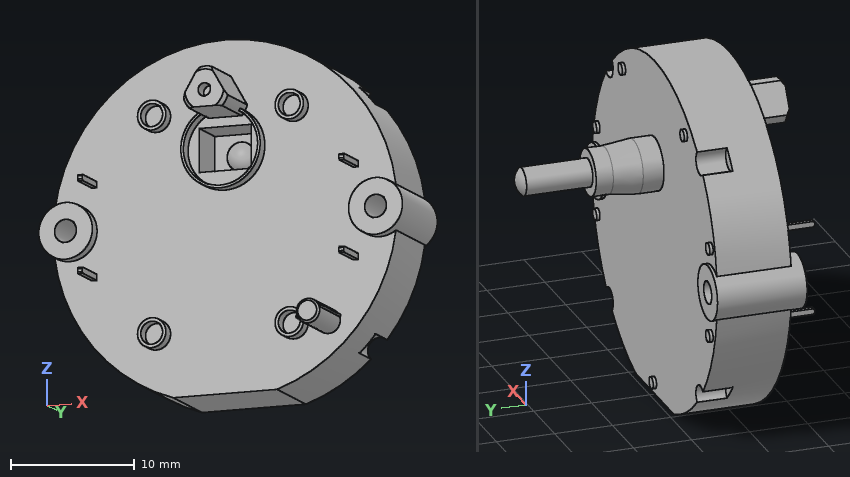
import cadquery as cq
import math


disc_radius = 15.0
disc_thickness = 6.4
flat_drop = 14.3

lug_radius = 2.35
lug_offset = 15.85 - lug_radius
lug_bore_radius = 0.95
front_boss_height = 1.05
back_pad_height = 0.3

standoff_x = 6.0
standoff_z = 9.0
standoff_radius = 1.25
standoff_bore_radius = 0.95

axis_z = 6.0
collar_radius = 3.45
recess_radius = 3.23
recess_floor_y = 0
pocket_width = 4.53
pocket_height = 3.65
pocket_depth = 3.5
pocket_floor_y = recess_floor_y + pocket_depth

post_z = 10.0
post_length = 4.63
post_side_distance = 1.4
post_corner_radius = 2.0
post_chamfer = 0.32
post_hole_radius = 0.55
post_hole_depth = 1.27

peg_x = 9.0
peg_z = -9.0
peg_radius = 1.0
peg_length = 4.72
peg_chamfer = 0.2
rib_radius = 0.13
rib_angles = (24, 204)

notch_radius = 1.0
notch_depth = 2.57
notch_angle = 43.3

pad_radius = 0.5
pad_places = [
    (7.4, 11.38),
    (-7.4, 11.38),
    (lug_offset, 3.85),
    (-lug_offset, 3.85),
    (lug_offset, -3.85),
    (-lug_offset, -3.85),
    (0, -13.28),
]

bushing_base_radius = 2.28
bushing_tip_radius = 2.0
bushing_base_length = 1.8
bushing_taper_length = 2.47
bushing_length = 5.75

shaft_radius = 1.2
dome_height = 0.55
shaft_reach = 11.98
shaft_tip_y = disc_thickness + shaft_reach

terminal_x = 11.38
terminal_z = 3.85
terminal_width = 0.4
terminal_height = 0.5
terminal_length = 3.23
terminal_chamfer = 0.13


def rod(x, z, radius, y_start, y_end):
    """Round rod parallel to Y."""
    length = y_end - y_start
    return cq.Workplane(cq.Solid.makeCylinder(radius, length, cq.Vector(x, y_start, z), cq.Vector(0, 1, 0)))


def plane_at(x, y, z):
    """Sketch plane facing -Y, with its local x along +X and local y along +Z."""
    return cq.Workplane("XZ", origin=(x, y, z))


def make_disc():
    half_flat = math.sqrt(disc_radius**2 - flat_drop**2)
    return (
        plane_at(0, disc_thickness, 0)
        .moveTo(-half_flat, -flat_drop)
        .threePointArc((0, disc_radius), (half_flat, -flat_drop))
        .close()
        .extrude(disc_thickness)
    )


def make_post():
    """Triangular prism rising from the recess floor, its corners rounded off by a bevelled cylinder."""
    corner_circle = 4 * post_side_distance
    triangle = (
        plane_at(0, recess_floor_y, post_z)
        .polygon(3, corner_circle)
        .extrude(post_length + recess_floor_y)
        .rotate((0, 0, post_z), (0, 1, post_z), 30)
    )
    round_bar = rod(0, post_z, post_corner_radius, -post_length, recess_floor_y)
    round_bar = round_bar.faces("<Y").chamfer(post_chamfer)
    hole = rod(0, post_z, post_hole_radius, -post_length, post_hole_depth - post_length)
    return triangle.intersect(round_bar).cut(hole)


def make_peg():
    peg = rod(peg_x, peg_z, peg_radius, -peg_length, 0).faces("<Y").chamfer(peg_chamfer)
    for rib_angle in rib_angles:
        angle = math.radians(rib_angle)
        rib_x = peg_x + peg_radius * math.cos(angle)
        rib_z = peg_z + peg_radius * math.sin(angle)
        peg = peg.union(rod(rib_x, rib_z, rib_radius, peg_chamfer - peg_length, 0))
    return peg


def make_bushing():
    """Base cylinder, taper and tip cylinder, turned about the shaft axis."""
    base_end = disc_thickness + bushing_base_length
    taper_end = base_end + bushing_taper_length
    tip_end = disc_thickness + bushing_length
    return (
        cq.Workplane("XY", origin=(0, 0, axis_z))
        .polyline([
            (0, disc_thickness),
            (bushing_base_radius, disc_thickness),
            (bushing_base_radius, base_end),
            (bushing_tip_radius, taper_end),
            (bushing_tip_radius, tip_end),
            (0, tip_end),
        ])
        .close()
        .revolve(360, (0, 0), (0, 1))
    )


def make_housing():
    housing = make_disc()

    for notch_direction in (notch_angle, 180 - notch_angle, 180 + notch_angle, -notch_angle):
        angle = math.radians(notch_direction)
        notch_x = disc_radius * math.cos(angle)
        notch_z = disc_radius * math.sin(angle)
        notch_start = disc_thickness - notch_depth
        housing = housing.cut(rod(notch_x, notch_z, notch_radius, notch_start, disc_thickness))

    for lug_x in (-lug_offset, lug_offset):
        lug_back = disc_thickness + back_pad_height
        housing = housing.union(rod(lug_x, 0, lug_radius, -front_boss_height, lug_back))
        housing = housing.cut(rod(lug_x, 0, lug_bore_radius, -front_boss_height, lug_back))

    for x in (-standoff_x, standoff_x):
        for z in (-standoff_z, standoff_z):
            housing = housing.union(rod(x, z, standoff_radius, -front_boss_height, 0))
            housing = housing.cut(rod(x, z, standoff_bore_radius, -front_boss_height, 0))

    for x, z in pad_places:
        housing = housing.union(rod(x, z, pad_radius, disc_thickness, disc_thickness + back_pad_height))

    housing = housing.union(rod(0, axis_z, collar_radius, -front_boss_height, 0))
    housing = housing.cut(rod(0, axis_z, recess_radius, -front_boss_height, recess_floor_y))
    pocket = plane_at(0, pocket_floor_y, axis_z).rect(pocket_width, pocket_height).extrude(pocket_depth)
    housing = housing.cut(pocket)

    housing = housing.union(make_post()).union(make_peg()).union(make_bushing())
    shaft_bore = rod(0, axis_z, shaft_radius, pocket_floor_y, disc_thickness + bushing_length)
    return housing.cut(shaft_bore)


def make_shaft():
    """Round shaft whose front dome rises from the pocket floor."""
    front_tip_y = pocket_floor_y - dome_height
    back_edge_y = shaft_tip_y - dome_height
    dome_radius = (shaft_radius**2 + dome_height**2) / (2 * dome_height)
    half_angle = math.asin(shaft_radius / dome_radius) / 2
    mid_x = dome_radius * math.sin(half_angle)
    mid_drop = dome_radius * (1 - math.cos(half_angle))
    return (
        cq.Workplane("XY", origin=(0, 0, axis_z))
        .moveTo(0, front_tip_y)
        .threePointArc((mid_x, front_tip_y + mid_drop), (shaft_radius, pocket_floor_y))
        .lineTo(shaft_radius, back_edge_y)
        .threePointArc((mid_x, shaft_tip_y - mid_drop), (0, shaft_tip_y))
        .close()
        .revolve(360, (0, 0), (0, 1))
    )


def make_terminal(x, z):
    """Short wire of rectangular section standing on the front face, bevelled above and below its tip."""
    terminal = plane_at(x, 0, z).rect(terminal_width, terminal_height).extrude(terminal_length)
    return terminal.faces("<Y").edges("|X").chamfer(terminal_chamfer)


housing = make_housing()
shaft = make_shaft()
terminals = []
for x in (-terminal_x, terminal_x):
    for z in (-terminal_z, terminal_z):
        terminals.append(make_terminal(x, z).val())

result = cq.Compound.makeCompound([housing.val(), shaft.val(), *terminals])